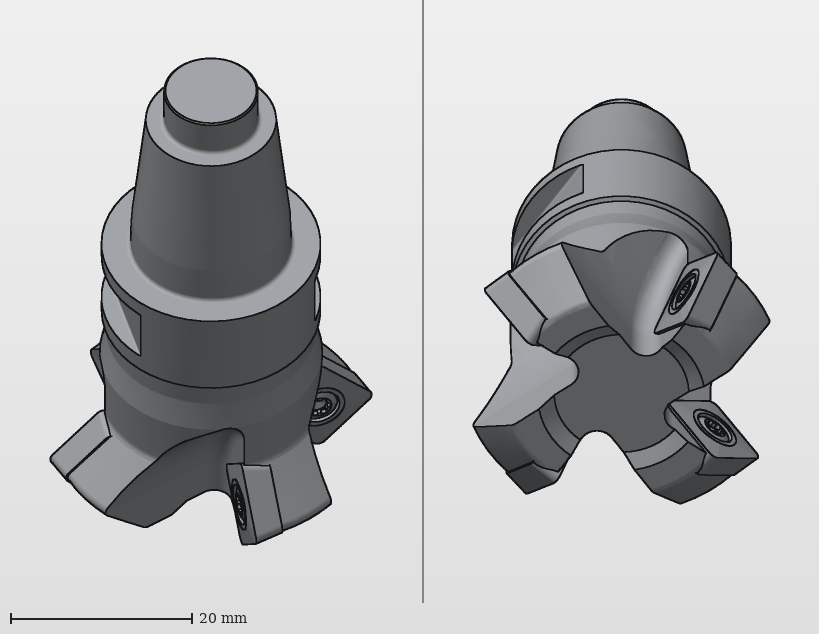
import cadquery as cq
import math

TEETH = 4
TOTAL_HEIGHT = 59.0

PILOT_RADIUS = 5.2
PILOT_BOTTOM = 54.45
PILOT_EDGE_CHAMFER = 0.2
ROOT_FILLET = 0.5
TAPER_TOP_RADIUS = 7.2
TAPER_BOTTOM_RADIUS = 8.75
TAPER_BOTTOM = 39.55
BARREL_RADIUS = 17.75 / 2
COLLAR_RADIUS = 12.1
COLLAR_TOP = 35.0
COLLAR_BOTTOM = 24.5
NECK_RADIUS = 23.2 / 2
NECK_TOP = 24.25
NECK_BOTTOM = 21.55
NECK_ROUNDING = 1.0
HEAD_RADIUS = 12.3
HEAD_TOP = 18.1

FLAT_DISTANCE = 10.0
FLAT_BOTTOM = 26.6
FLAT_HEIGHT = 6.5
FLAT_ROOT_RADIUS = 0.25

FLANK_ANGLE = 45.0
TOOTH_RADIUS = 17.65
TIP_ROUNDING = 0.9
TOOTH_BOTTOM = 0.5
FLANK_ROUNDING = 1.0
DISH_RADIUS = 9.2
DISH_TOP_RADIUS = 7.45
DISH_DEPTH = 1.0

RAKE_OFFSET = 0.35
FLUTE_CORNER_RADIUS = 2.0
FLUTE_WALL_ANGLE = 19.5
FLUTE_DEPTH_X = 5.2
FLUTE_RUNOUT_RADIUS = 14.1
RUNOUT_Z = 5.85

INSERT_HALF_DIAGONAL = 12.1 / 2
INSERT_THICKNESS = 3.25
INSERT_RADIUS = 36.9 / 2
INSERT_RELIEF = 11.0
CORNER_FACET_WIDTH = 1.25
FACE_SLOPE = 0.12
BOSS_DIAMETER = 5.7
BOSS_HEIGHT = 0.3
SCREW_SEAT_DIAMETER = 4.55
SCREW_HEAD_DIAMETER = 4.2
SCREW_TOP_DIAMETER = 2.7
SCREW_SEAT_DEPTH = 0.7
SCREW_DOME_HEIGHT = 0.35
SOCKET_DIAMETER = 1.95
SOCKET_DEPTH = 0.6
SOCKET_FLOOR_DEPTH = 0.5
SOCKET_LOBES = 6
LOBE_DIAMETER = 0.6

INSERT_X = INSERT_RADIUS - INSERT_HALF_DIAGONAL
INSERT_Z = INSERT_HALF_DIAGONAL
WALL_ANGLE = math.radians(FLUTE_WALL_ANGLE)
WALL_START_Y = RAKE_OFFSET - FLUTE_CORNER_RADIUS * (1 + math.sin(WALL_ANGLE))
WALL_END_Y = -TOOTH_RADIUS - FLUTE_CORNER_RADIUS
RUNOUT_AXIS_X = FLUTE_DEPTH_X + FLUTE_RUNOUT_RADIUS
PITCH_ANGLE = 360.0 / TEETH


def turned_around_axis(shape, index):
    """Copy of a shape moved to the given tooth position."""
    return shape.rotate((0, 0, 0), (0, 0, 1), index * PITCH_ANGLE)


def turned_blank():
    """Shank, collar, head and the 45 degree ring that the teeth are cut from."""
    flank_angle = math.radians(FLANK_ANGLE)
    tip_half_height = TIP_ROUNDING * math.sin(flank_angle)
    flank_radius = TOOTH_RADIUS - TIP_ROUNDING * (1 - math.cos(flank_angle))
    tip_top = INSERT_Z + tip_half_height
    tip_bottom = INSERT_Z - tip_half_height
    bottom_corner_radius = flank_radius - (tip_bottom - TOOTH_BOTTOM)
    tangent_length = FLANK_ROUNDING * math.tan(flank_angle / 2)
    flank_step = tangent_length * math.sin(flank_angle)
    root_z = tip_top + flank_radius - HEAD_RADIUS
    cone_angle = math.atan((HEAD_RADIUS - NECK_RADIUS) / (NECK_BOTTOM - HEAD_TOP))
    neck_tangent = NECK_ROUNDING * math.tan(cone_angle / 2)
    cone_end = (
        NECK_RADIUS + neck_tangent * math.sin(cone_angle),
        NECK_BOTTOM - neck_tangent * math.cos(cone_angle),
    )
    return (
        cq.Workplane("XZ")
        .moveTo(0, TOOTH_BOTTOM)
        .lineTo(bottom_corner_radius - tangent_length, TOOTH_BOTTOM)
        .tangentArcPoint((bottom_corner_radius + flank_step, TOOTH_BOTTOM + flank_step), relative=False)
        .lineTo(flank_radius, tip_bottom)
        .threePointArc((TOOTH_RADIUS, INSERT_Z), (flank_radius, tip_top))
        .lineTo(HEAD_RADIUS + flank_step, root_z - flank_step)
        .tangentArcPoint((HEAD_RADIUS, root_z + tangent_length), relative=False)
        .lineTo(HEAD_RADIUS, HEAD_TOP)
        .lineTo(*cone_end)
        .tangentArcPoint((NECK_RADIUS, NECK_BOTTOM + neck_tangent), relative=False)
        .lineTo(NECK_RADIUS, NECK_TOP)
        .lineTo(COLLAR_RADIUS, COLLAR_BOTTOM)
        .lineTo(COLLAR_RADIUS, COLLAR_TOP)
        .lineTo(BARREL_RADIUS + ROOT_FILLET, COLLAR_TOP)
        .tangentArcPoint((BARREL_RADIUS, COLLAR_TOP + ROOT_FILLET), relative=False)
        .tangentArcPoint((TAPER_BOTTOM_RADIUS, TAPER_BOTTOM), relative=False)
        .lineTo(TAPER_TOP_RADIUS, PILOT_BOTTOM)
        .lineTo(PILOT_RADIUS + ROOT_FILLET, PILOT_BOTTOM)
        .tangentArcPoint((PILOT_RADIUS, PILOT_BOTTOM + ROOT_FILLET), relative=False)
        .lineTo(PILOT_RADIUS, TOTAL_HEIGHT - PILOT_EDGE_CHAMFER)
        .lineTo(PILOT_RADIUS - PILOT_EDGE_CHAMFER, TOTAL_HEIGHT)
        .lineTo(0, TOTAL_HEIGHT)
        .close()
        .revolve(360, (0, 0, 0), (0, 1, 0))
    )


def wrench_flat():
    """Slot that leaves one flat on the -Y side of the collar."""
    depth = COLLAR_RADIUS - FLAT_DISTANCE
    return (
        cq.Workplane("XY")
        .box(2 * COLLAR_RADIUS, 2 * depth, FLAT_HEIGHT)
        .edges("|X and >Y")
        .fillet(FLAT_ROOT_RADIUS)
        .translate((0, -COLLAR_RADIUS, FLAT_BOTTOM + FLAT_HEIGHT / 2))
    )


def bottom_dish():
    """Shallow conical recess in the bottom face."""
    return (
        cq.Workplane("XY", origin=(0, 0, TOOTH_BOTTOM))
        .circle(DISH_RADIUS)
        .workplane(offset=DISH_DEPTH)
        .circle(DISH_TOP_RADIUS)
        .loft()
    )


def flute_corner_section():
    """Outline between the rake face and the start of the flute wall, where the flute turns outward."""
    radius = FLUTE_CORNER_RADIUS
    centre_x = FLUTE_DEPTH_X + radius * math.cos(WALL_ANGLE)
    centre_y = RAKE_OFFSET - radius
    middle_angle = (math.pi / 2 + math.pi + WALL_ANGLE) / 2
    arc_middle = (centre_x + radius * math.cos(middle_angle), centre_y + radius * math.sin(middle_angle))
    return (
        cq.Workplane("XY", origin=(0, 0, RUNOUT_Z))
        .moveTo(RUNOUT_AXIS_X, RAKE_OFFSET)
        .lineTo(centre_x, RAKE_OFFSET)
        .threePointArc(arc_middle, (FLUTE_DEPTH_X, WALL_START_Y))
        .lineTo(RUNOUT_AXIS_X, WALL_START_Y)
        .close()
    )


def flute_wall_profile(y):
    """Outline of the space in front of the flute wall: upright at first, then curving outward."""
    wall_x = FLUTE_DEPTH_X + (WALL_START_Y - y) * math.tan(WALL_ANGLE)
    return (
        cq.Workplane("XZ", origin=(wall_x, y, 0))
        .lineTo(0, RUNOUT_Z)
        .tangentArcPoint((FLUTE_RUNOUT_RADIUS, RUNOUT_Z + FLUTE_RUNOUT_RADIUS), relative=False)
        .lineTo(FLUTE_RUNOUT_RADIUS, 0)
        .close()
        .val()
    )


def flute():
    """Flute ahead of the +X insert: rounded corner by the rake face, then the slanted wall."""
    corner = flute_corner_section().extrude(-RUNOUT_Z)
    runout = flute_corner_section().revolve(90, (RUNOUT_AXIS_X, 0, 0), (RUNOUT_AXIS_X, 1, 0))
    wall_profiles = [flute_wall_profile(y) for y in (WALL_START_Y, WALL_END_Y)]
    wall = cq.Workplane(cq.Solid.makeLoft(wall_profiles, True))
    return corner.union(runout).union(wall)


def insert_plane():
    """Plane of the cutting edges; the insert backs away from it toward +Y."""
    return cq.Workplane("XZ", origin=(INSERT_X, 0, INSERT_Z))


def rounded_square(depth, taper):
    """Square standing on a rounded corner, extruded from the plane of the cutting edges."""
    lean = math.radians(taper)
    normals_angle = math.acos(math.sin(lean) ** 2)
    edge_lean = math.atan(math.sqrt(2) * math.tan(lean))
    rounding_loss = TIP_ROUNDING * (1 / math.cos(normals_angle / 2) - 1) / math.cos(edge_lean)
    sharp_half_diagonal = INSERT_HALF_DIAGONAL + rounding_loss
    square = insert_plane().polygon(4, 2 * sharp_half_diagonal).extrude(depth, taper=taper)
    return square.edges("not #Y").fillet(TIP_ROUNDING)


def top_facets():
    """Four side facets and four narrow corner facets that rise toward the boss."""
    side_taper = math.degrees(math.atan(1 / FACE_SLOPE))
    corner_taper = math.degrees(math.atan(math.sqrt(2) / FACE_SLOPE))
    side_half_diagonal = INSERT_HALF_DIAGONAL + CORNER_FACET_WIDTH / 2
    sides = insert_plane().polygon(4, 2 * side_half_diagonal).extrude(BOSS_HEIGHT, taper=side_taper)
    corners = insert_plane().rect(2 * INSERT_HALF_DIAGONAL, 2 * INSERT_HALF_DIAGONAL)
    return sides.intersect(corners.extrude(BOSS_HEIGHT, taper=corner_taper))


def insert_blank():
    """Insert without its screw seat."""
    relieved = rounded_square(-INSERT_THICKNESS, INSERT_RELIEF)
    facets = top_facets().intersect(rounded_square(BOSS_HEIGHT, 0))
    boss = insert_plane().circle(BOSS_DIAMETER / 2).extrude(BOSS_HEIGHT)
    return relieved.union(facets).union(boss)


def screw_recess():
    """Groove around the domed screw head, and the lobed socket with its conical floor."""
    face = cq.Workplane("XZ", origin=(INSERT_X, -BOSS_HEIGHT, INSERT_Z))
    seat = face.circle(SCREW_SEAT_DIAMETER / 2).extrude(-SCREW_SEAT_DEPTH)
    head = (
        face.workplane(offset=-SCREW_SEAT_DEPTH)
        .circle(SCREW_HEAD_DIAMETER / 2)
        .extrude(SCREW_SEAT_DEPTH - SCREW_DOME_HEIGHT)
    )
    dome = (
        face.workplane(offset=-SCREW_DOME_HEIGHT)
        .circle(SCREW_HEAD_DIAMETER / 2)
        .workplane(offset=SCREW_DOME_HEIGHT)
        .circle(SCREW_TOP_DIAMETER / 2)
        .loft()
    )
    socket = face.circle(SOCKET_DIAMETER / 2).extrude(-SOCKET_DEPTH)
    lobes = (
        face.polarArray(SOCKET_DIAMETER / 2, 0, 360, SOCKET_LOBES)
        .circle(LOBE_DIAMETER / 2)
        .extrude(-SOCKET_DEPTH)
    )
    floor = cq.Workplane(
        cq.Solid.makeCone(
            SOCKET_DIAMETER / 2, 0, SOCKET_FLOOR_DEPTH,
            pnt=cq.Vector(INSERT_X, SOCKET_DEPTH - BOSS_HEIGHT, INSERT_Z), dir=cq.Vector(0, 1, 0),
        )
    )
    return seat.cut(head).cut(dome).union(socket).union(lobes).union(floor)


def cutter_body():
    """Blank with its dish, wrench flats, flutes and insert pockets."""
    body = turned_blank().cut(bottom_dish())
    flat = wrench_flat()
    body = body.cut(flat).cut(flat.mirror("XZ"))
    for index in range(TEETH):
        body = body.cut(turned_around_axis(flute(), index))
        body = body.cut(turned_around_axis(insert_blank(), index))
    return body


def inserts():
    """One insert in each pocket."""
    insert = insert_blank().cut(screw_recess())
    return [turned_around_axis(insert, index) for index in range(TEETH)]


body = cutter_body()
result = cq.Compound.makeCompound([body.solids().val(), *[insert.solids().val() for insert in inserts()]])